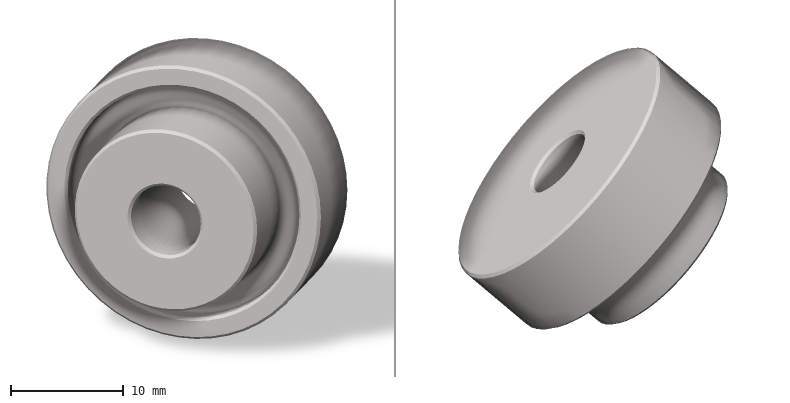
import cadquery as cq

flange_radius = 12.8
flange_length = 8.0
hub_radius = 8.5
hub_length = 5.0
bore_radius = 3.25
edge_chamfer = 0.25

recess_radius = 10.8
recess_depth = 2.0
recess_fillet = 0.5

flange_face_y = 0.0
flange_back_y = flange_face_y + flange_length
hub_face_y = flange_face_y - hub_length
recess_floor_y = flange_face_y + recess_depth

smallest_circle = cq.selectors.RadiusNthSelector(0)


def make_disc(radius, start_y, end_y):
    """Solid cylinder about the Y axis from start_y to end_y."""
    base = cq.Workplane("XZ", origin=(0, start_y, 0))
    return base.circle(radius).extrude(start_y - end_y)


def make_flange():
    """Flange with a round recess in its front face."""
    flange = make_disc(flange_radius, flange_face_y, flange_back_y)
    flange = flange.edges().chamfer(edge_chamfer)
    recess = make_disc(recess_radius, flange_face_y, recess_floor_y)
    recess = recess.faces(">Y").edges().fillet(recess_fillet)
    flange = flange.cut(recess)
    recess_mouth = flange.faces("<Y").edges(smallest_circle)
    return recess_mouth.chamfer(edge_chamfer)


def add_hub(flange):
    """Hub rising from the recess floor, with a filleted root and a chamfered tip."""
    hub = make_disc(hub_radius, hub_face_y, recess_floor_y)
    hub = hub.faces("<Y").edges().chamfer(edge_chamfer)
    body = flange.union(hub)
    near_floor = cq.selectors.BoxSelector(
        (-hub_radius, recess_floor_y - edge_chamfer, -hub_radius),
        (hub_radius, recess_floor_y + edge_chamfer, hub_radius),
    )
    root_edge = body.edges(near_floor).edges(smallest_circle)
    return root_edge.fillet(recess_fillet)


def cut_bore(body):
    """Through bore with both ends chamfered."""
    body = body.cut(make_disc(bore_radius, hub_face_y, flange_back_y))
    for end_face in ("<Y", ">Y"):
        body = body.faces(end_face).edges(smallest_circle).chamfer(edge_chamfer)
    return body


result = cut_bore(add_hub(make_flange()))